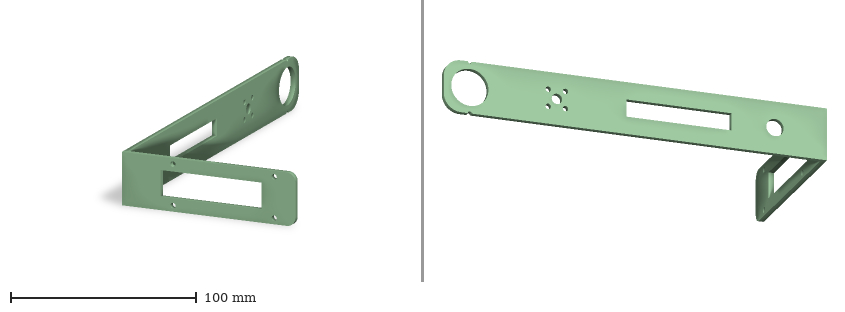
import cadquery as cq

long_arm = 220.0
short_arm = 103.0
height = 30.0
thickness = 3.0
mid_z = height / 2
long_corner_radius = 10.0
short_corner_radius = 5.0

ring_hole_diameter = 21.3
ring_hole_y = long_arm - height / 2
edge_notch_radius = 1.0
cluster_y = 155.0
cluster_center_diameter = 6.0
cluster_screw_diameter = 3.0
cluster_pitch = 10.0
slot_start_y = 55.0
slot_length = 60.0
slot_height = 10.0
round_hole_y = height
round_hole_diameter = 10.0

window_start_x = 22.9
window_length = 60.0
window_height = 15.0
screw_start_x = 30.4
screw_pitch_x = window_length
screw_pitch_z = 23.0
screw_diameter = 3.0


def make_bracket():
    """Bent strip with rounded corners at both free ends."""
    long_plate = cq.Workplane("XY").box(thickness, long_arm, height, centered=False)
    long_plate = long_plate.edges("|X and >Y").fillet(long_corner_radius)
    short_plate = cq.Workplane("XY").box(short_arm, thickness, height, centered=False)
    short_plate = short_plate.edges("|Y and >X").fillet(short_corner_radius)
    return long_plate.union(short_plate)


def long_arm_hole(y, z, diameter):
    """Cylinder through the long arm."""
    return cq.Workplane("YZ").center(y, z).circle(diameter / 2).extrude(thickness)


def short_arm_hole(x, z, diameter):
    """Cylinder through the short arm."""
    return cq.Workplane("XZ").center(x, z).circle(diameter / 2).extrude(-thickness)


def cut_long_arm(body):
    """Ring hole, edge notches, hole cluster, slot and round hole."""
    body = body.cut(long_arm_hole(ring_hole_y, mid_z, ring_hole_diameter))
    for edge_z in (0, height):
        body = body.cut(long_arm_hole(ring_hole_y, edge_z, 2 * edge_notch_radius))

    body = body.cut(long_arm_hole(cluster_y, mid_z, cluster_center_diameter))
    for side_y in (-1, 1):
        for side_z in (-1, 1):
            y = cluster_y + side_y * cluster_pitch / 2
            z = mid_z + side_z * cluster_pitch / 2
            body = body.cut(long_arm_hole(y, z, cluster_screw_diameter))

    slot = (
        cq.Workplane("YZ")
        .center(slot_start_y + slot_length / 2, mid_z)
        .rect(slot_length, slot_height)
        .extrude(thickness)
    )
    return body.cut(slot).cut(long_arm_hole(round_hole_y, mid_z, round_hole_diameter))


def cut_short_arm(body):
    """Rectangular window with four screw holes."""
    window = (
        cq.Workplane("XZ")
        .center(window_start_x + window_length / 2, mid_z)
        .rect(window_length, window_height)
        .extrude(-thickness)
    )
    body = body.cut(window)
    for x in (screw_start_x, screw_start_x + screw_pitch_x):
        for side_z in (-1, 1):
            z = mid_z + side_z * screw_pitch_z / 2
            body = body.cut(short_arm_hole(x, z, screw_diameter))
    return body


result = cut_short_arm(cut_long_arm(make_bracket()))